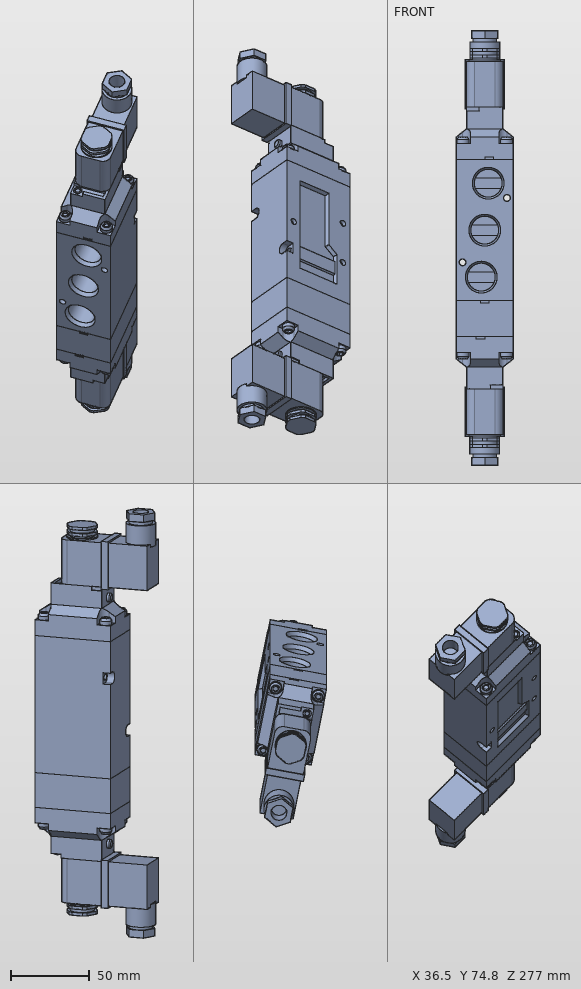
import cadquery as cq


HEX_CORNER_RATIO = 2 / 3**0.5

BLOCK_WIDTH = 36.5
BLOCK_DEPTH = 51.3
CAP_JOINT_Z = 56.3
SPACER_HEIGHT = 22.7
SPACER_TOP_Z = SPACER_HEIGHT - CAP_JOINT_Z

MARK_WIDTH = 5.5
MARK_HEIGHT = 1.7
MARK_DEPTH = 0.8
CAP_MARK_X = MARK_WIDTH / 2

PORT_PITCH = 30.0
PORT_MIDDLE_Z = 11.4
PORT_STAGGER = 2.2
PORT_DIAMETER = 17.7
PORT_MOUTH_DIAMETER = 20.2
PORT_MOUTH_DEPTH = 2.8
PORT_DEPTH = 22.2
PORT_SLOT_HEIGHT = 6.7
PORT_SLOT_DEPTH = 2.8

MOUNT_X = 14.0
MOUNT_MIDDLE_Z = PORT_MIDDLE_Z
MOUNT_HALF_PITCH = 20.5
MOUNT_DIAMETER = 4.2
MOUNT_SLOT_HEIGHT = 7.5
MOUNT_SLOT_DEPTH = 5.0

POCKET_BACK_Y = 40.5
POCKET_UPPER_FRONT_Y = 17.2
POCKET_LOWER_FRONT_Y = 10.5
POCKET_TOP_Z = 44.5
POCKET_BEND_TOP_Z = 5.3
POCKET_BEND_BOTTOM_Z = 0.3
POCKET_BOTTOM_Z = -22.2
POCKET_DEPTH = 2.5
POCKET_TAPER = 25
PAD_TOP_Z = -4.5
PAD_BOTTOM_Z = -13.9
PAD_THICKNESS = 1.0
PAD_SLOPE_WIDTH = 0.8

PIN_DIAMETER = 4.2
PIN_DEPTH = 2.8
PIN_FRONT_Y = 5.8
PIN_BACK_Y = 45.7

SHOULDER_Z = 70.7
NECK_Z = 76.0
NECK_TOP_Z = 89.8
NECK_WIDTH = 23.3
NECK_FRONT_Y = 8.3
NECK_BACK_Y = 43.0

SCREW_X = 13.9
SCREW_EDGE_DISTANCE = 4.7
SCREW_FLOOR_Z = 66.5
SCREW_DIAMETER = 7.8
SCREW_HEIGHT = 4.2
SCREW_CHAMFER_HEIGHT = 1.7
SCREW_CHAMFER_WIDTH = 1.0
SCREW_SOCKET_CORNERS = 4.0
SCREW_SOCKET_DEPTH = 1.7
SCREW_POCKET_SIZE = 9.1
SCREW_POCKET_RADIUS = 5.0

FRONT_STEP_WIDTH = 8.0
REAR_STEP_WIDTH = 0.8
STEP_DEPTH_Y = 7.0
STEP_HEIGHT = 2.5
OVERRIDE_X = -8.0
OVERRIDE_Y = 12.2
OVERRIDE_DIAMETER = 5.3
OVERRIDE_DEPTH = 1.7
OVERRIDE_BUTTON_DIAMETER = 3.0
LABEL_RIGHT_X = 9.7
LABEL_FRONT_Y = 10.5
LABEL_BACK_Y = NECK_FRONT_Y + STEP_DEPTH_Y

PEG_Z = 80.5
PEG_DIAMETER = 5.8
PEG_LENGTH = 2.5
PEG_CHAMFER = 0.8

COIL_TOP_Z = 119.0
COIL_FRONT_Y = 14.0
COIL_CORNER_RADIUS = 5.3
NUT_Y = 25.5
NUT_DIAMETER = 20.0
NUT_FLATS = 18.5
NUT_NECK_DIAMETER = 15.8
NUT_TOP_Z = 127.2
NUT_BASE_THICKNESS = 0.8
NUT_RING_THICKNESS = 2.0
NUT_RING_PITCH = 4.2
NUT_RINGS = 2

FLANGE_WIDTH = 25.0
FLANGE_THICKNESS = 4.5
FLANGE_OVERHANG = 1.0
PLUG_WIDTH = 21.5
PLUG_BACK_Y = 73.5
REAR_LIMIT_Y = 74.8
GLAND_DIAMETER = 19.0
GLAND_BOTTOM_Z = 117.0
GLAND_TOP_Z = 131.3
GLAND_NECK_DIAMETER = 15.2
GLAND_NUT_BOTTOM_Z = 133.5
GLAND_NUT_FLATS = 16.5
GLAND_NUT_CORNERS = GLAND_NUT_FLATS * HEX_CORNER_RATIO
GLAND_Y = REAR_LIMIT_Y - GLAND_NUT_CORNERS / 2
GLAND_NUT_TOP_Z = 138.5
CABLE_HOLE_DIAMETER = 10.0
CABLE_HOLE_DEPTH = 11.0


def span_box(x_range, y_range, z_range):
    """Box between the given limits along X, Y and Z."""
    size = [high - low for low, high in (x_range, y_range, z_range)]
    corner = (x_range[0], y_range[0], z_range[0])
    return cq.Workplane("XY").box(*size, centered=False).translate(corner)


def centred_range(width, middle=0):
    return (middle - width / 2, middle + width / 2)


def upright_cylinder(x, y, z_range, diameter):
    """Cylinder along Z between two heights."""
    height = z_range[1] - z_range[0]
    return cq.Workplane("XY", origin=(x, y, z_range[0])).circle(diameter / 2).extrude(height)


def upright_hexagon(x, y, z_range, across_corners):
    """Hexagonal prism along Z with two of its corners on the Y direction."""
    height = z_range[1] - z_range[0]
    prism = cq.Workplane("XY").polygon(6, across_corners).extrude(height)
    return prism.rotate((0, 0, 0), (0, 0, 1), 90).translate((x, y, z_range[0]))


def front_hole(x, z, diameter, depth):
    """Cylinder that runs back from the front face."""
    return cq.Workplane("XZ", origin=(x, 0, z)).circle(diameter / 2).extrude(-depth)


def block_slice(z_range):
    return span_box(centred_range(BLOCK_WIDTH), (0, BLOCK_DEPTH), z_range)


def mark_notch(x, z_bottom):
    """Shallow notch in the front face beside a joint."""
    z_range = (z_bottom, z_bottom + MARK_HEIGHT)
    return span_box(centred_range(MARK_WIDTH, x), (0, MARK_DEPTH), z_range)


def port(x, z):
    """Blind port with a conical mouth and a slot across its floor."""
    bore = front_hole(x, z, PORT_DIAMETER, PORT_DEPTH)
    mouth = cq.Solid.makeCone(
        PORT_MOUTH_DIAMETER / 2,
        PORT_DIAMETER / 2,
        PORT_MOUTH_DEPTH,
        pnt=cq.Vector(x, 0, z),
        dir=cq.Vector(0, 1, 0),
    )
    slot = span_box(
        centred_range(PORT_DIAMETER, x),
        (PORT_DEPTH, PORT_DEPTH + PORT_SLOT_DEPTH),
        centred_range(PORT_SLOT_HEIGHT, z),
    ).intersect(front_hole(x, z, PORT_DIAMETER, BLOCK_DEPTH))
    return bore.union(cq.Workplane(mouth)).union(slot)


def mounting_hole(side, z):
    """Through hole whose rear end widens into a slot open to the nearer side."""
    x = side * MOUNT_X
    hole = front_hole(x, z, MOUNT_DIAMETER, BLOCK_DEPTH)
    slot = (
        cq.Workplane("XZ", origin=(x + side * MOUNT_SLOT_HEIGHT, BLOCK_DEPTH, z))
        .slot2D(3 * MOUNT_SLOT_HEIGHT, MOUNT_SLOT_HEIGHT)
        .extrude(MOUNT_SLOT_DEPTH)
    )
    return hole.union(slot)


def side_pocket():
    """Tapered pocket of the -X side, less the pad left standing on its floor."""
    side_x = -BLOCK_WIDTH / 2
    outline = [
        (POCKET_BACK_Y, POCKET_TOP_Z),
        (POCKET_UPPER_FRONT_Y, POCKET_TOP_Z),
        (POCKET_UPPER_FRONT_Y, POCKET_BEND_TOP_Z),
        (POCKET_LOWER_FRONT_Y, POCKET_BEND_BOTTOM_Z),
        (POCKET_LOWER_FRONT_Y, POCKET_BOTTOM_Z),
        (POCKET_BACK_Y, POCKET_BOTTOM_Z),
    ]
    pocket = (
        cq.Workplane("YZ", origin=(side_x, 0, 0))
        .polyline(outline)
        .close()
        .extrude(POCKET_DEPTH, taper=POCKET_TAPER)
    )
    floor_x = side_x + POCKET_DEPTH
    pad_x = floor_x - PAD_THICKNESS
    pad = (
        cq.Workplane("XZ", origin=(0, POCKET_LOWER_FRONT_Y, 0))
        .polyline(
            [
                (pad_x, PAD_TOP_Z),
                (floor_x, PAD_TOP_Z + PAD_SLOPE_WIDTH),
                (floor_x, PAD_BOTTOM_Z - PAD_SLOPE_WIDTH),
                (pad_x, PAD_BOTTOM_Z),
            ]
        )
        .close()
        .extrude(POCKET_LOWER_FRONT_Y - POCKET_BACK_Y)
    )
    return pocket.cut(pad)


def pin_holes():
    points = [
        (PIN_FRONT_Y, PORT_MIDDLE_Z + PORT_PITCH / 2),
        (PIN_FRONT_Y, PORT_MIDDLE_Z - PORT_PITCH / 2),
        (PIN_BACK_Y, PORT_MIDDLE_Z),
    ]
    return (
        cq.Workplane("YZ", origin=(-BLOCK_WIDTH / 2, 0, 0))
        .pushPoints(points)
        .circle(PIN_DIAMETER / 2)
        .extrude(PIN_DEPTH)
    )


def make_main_body():
    body = block_slice((SPACER_TOP_Z, CAP_JOINT_Z))
    for step in (-1, 0, 1):
        body = body.cut(port(step * PORT_STAGGER, PORT_MIDDLE_Z + step * PORT_PITCH))
    for side in (-1, 1):
        body = body.cut(mounting_hole(side, MOUNT_MIDDLE_Z + side * MOUNT_HALF_PITCH))
    return body.cut(side_pocket()).cut(pin_holes())


def make_spacer():
    spacer = block_slice((-CAP_JOINT_Z, SPACER_TOP_Z))
    return spacer.cut(mark_notch(0, SPACER_TOP_Z - MARK_HEIGHT))


def cap_blank():
    """Block end that slopes in to a narrower neck."""
    base = block_slice((CAP_JOINT_Z, SHOULDER_Z))
    neck_depth = NECK_BACK_Y - NECK_FRONT_Y
    neck_y = (NECK_FRONT_Y + NECK_BACK_Y) / 2
    slope = (
        cq.Workplane("XY", origin=(0, BLOCK_DEPTH / 2, SHOULDER_Z))
        .rect(BLOCK_WIDTH, BLOCK_DEPTH)
        .workplane(offset=NECK_Z - SHOULDER_Z)
        .center(0, neck_y - BLOCK_DEPTH / 2)
        .rect(NECK_WIDTH, neck_depth)
        .loft(ruled=True)
    )
    neck = span_box(centred_range(NECK_WIDTH), (NECK_FRONT_Y, NECK_BACK_Y), (NECK_Z, NECK_TOP_Z))
    return base.union(slope).union(neck)


def screw_pocket(x_side, y_side):
    """Corner pocket, open to two sides, with a rounded inner corner."""
    corner_y = BLOCK_DEPTH / 2 * (1 + y_side)
    pocket = span_box(
        centred_range(2 * SCREW_POCKET_SIZE, x_side * BLOCK_WIDTH / 2),
        centred_range(2 * SCREW_POCKET_SIZE, corner_y),
        (SCREW_FLOOR_Z, NECK_TOP_Z),
    )
    return pocket.edges("|Z").fillet(SCREW_POCKET_RADIUS)


def screw_head(x_side, y_side):
    """Chamfered socket screw head standing on the pocket floor."""
    middle_y = BLOCK_DEPTH / 2
    y = middle_y + y_side * (middle_y - SCREW_EDGE_DISTANCE)
    x = x_side * SCREW_X
    top_z = SCREW_FLOOR_Z + SCREW_HEIGHT
    bevel_z = top_z - SCREW_CHAMFER_HEIGHT
    head = upright_cylinder(x, y, (SCREW_FLOOR_Z, bevel_z), SCREW_DIAMETER)
    radius = SCREW_DIAMETER / 2
    top_radius = radius - SCREW_CHAMFER_WIDTH
    bevel = cq.Solid.makeCone(radius, top_radius, SCREW_CHAMFER_HEIGHT, pnt=cq.Vector(x, y, bevel_z))
    socket = upright_hexagon(x, y, (top_z - SCREW_SOCKET_DEPTH, top_z), SCREW_SOCKET_CORNERS)
    return head.union(cq.Workplane(bevel)).cut(socket)


def neck_corner_step(x_side, corner_y, width):
    """Low step cut in from a top corner of the neck."""
    return span_box(
        centred_range(2 * width, x_side * NECK_WIDTH / 2),
        centred_range(2 * STEP_DEPTH_Y, corner_y),
        (NECK_TOP_Z - STEP_HEIGHT, NECK_TOP_Z),
    )


def override_recess():
    """Round recess in the corner step, with a round button left inside."""
    top_z = NECK_TOP_Z - STEP_HEIGHT
    z_range = (top_z - OVERRIDE_DEPTH, top_z)
    ring = upright_cylinder(OVERRIDE_X, OVERRIDE_Y, z_range, OVERRIDE_DIAMETER)
    return ring.cut(upright_cylinder(OVERRIDE_X, OVERRIDE_Y, z_range, OVERRIDE_BUTTON_DIAMETER))


def label_recess():
    """Recess that carries the front corner step on behind a narrow rim."""
    return span_box(
        (-NECK_WIDTH / 2, LABEL_RIGHT_X),
        (LABEL_FRONT_Y, LABEL_BACK_Y),
        (NECK_TOP_Z - STEP_HEIGHT, NECK_TOP_Z),
    )


def rear_peg():
    peg = cq.Workplane("XZ", origin=(0, NECK_BACK_Y, PEG_Z)).circle(PEG_DIAMETER / 2).extrude(-PEG_LENGTH)
    return peg.faces(">Y").chamfer(PEG_CHAMFER)


def make_end_cap():
    cap = cap_blank().union(rear_peg())
    for x_side in (-1, 1):
        for y_side in (-1, 1):
            cap = cap.cut(screw_pocket(x_side, y_side)).union(screw_head(x_side, y_side))
    cap = cap.cut(neck_corner_step(-1, NECK_FRONT_Y, FRONT_STEP_WIDTH))
    cap = cap.cut(neck_corner_step(1, NECK_BACK_Y, REAR_STEP_WIDTH))
    return cap.cut(override_recess()).cut(label_recess()).cut(mark_notch(CAP_MARK_X, CAP_JOINT_Z))


def coil_nut():
    """Round base, narrower neck and two hexagonal rings with rounded corners."""
    base = upright_cylinder(0, NUT_Y, (COIL_TOP_Z, COIL_TOP_Z + NUT_BASE_THICKNESS), NUT_DIAMETER)
    nut = base.union(upright_cylinder(0, NUT_Y, (COIL_TOP_Z, NUT_TOP_Z), NUT_NECK_DIAMETER))
    for ring in range(NUT_RINGS):
        top_z = NUT_TOP_Z - ring * NUT_RING_PITCH
        z_range = (top_z - NUT_RING_THICKNESS, top_z)
        hexagon = upright_hexagon(0, NUT_Y, z_range, NUT_FLATS * HEX_CORNER_RATIO)
        nut = nut.union(hexagon.intersect(upright_cylinder(0, NUT_Y, z_range, NUT_DIAMETER)))
    return nut


def make_coil():
    housing = span_box(
        centred_range(NECK_WIDTH), (COIL_FRONT_Y, NECK_BACK_Y), (NECK_TOP_Z, COIL_TOP_Z)
    )
    housing = housing.edges("|Z and <Y").fillet(COIL_CORNER_RADIUS)
    return housing.union(coil_nut())


def cable_gland():
    """Stepped gland with a hexagonal nut and a cable hole."""
    gland = upright_cylinder(0, GLAND_Y, (GLAND_BOTTOM_Z, GLAND_TOP_Z), GLAND_DIAMETER)
    neck = upright_cylinder(0, GLAND_Y, (GLAND_TOP_Z, GLAND_NUT_BOTTOM_Z), GLAND_NECK_DIAMETER)
    nut = upright_hexagon(0, GLAND_Y, (GLAND_NUT_BOTTOM_Z, GLAND_NUT_TOP_Z), GLAND_NUT_CORNERS)
    hole_range = (GLAND_NUT_TOP_Z - CABLE_HOLE_DEPTH, GLAND_NUT_TOP_Z)
    hole = upright_cylinder(0, GLAND_Y, hole_range, CABLE_HOLE_DIAMETER)
    return gland.union(neck).union(nut).cut(hole)


def make_connector():
    flange_back_y = NECK_BACK_Y + FLANGE_THICKNESS
    flange = span_box(
        centred_range(FLANGE_WIDTH),
        (NECK_BACK_Y, flange_back_y),
        (NECK_TOP_Z - FLANGE_OVERHANG, COIL_TOP_Z + FLANGE_OVERHANG),
    )
    plug = span_box(centred_range(PLUG_WIDTH), (flange_back_y, PLUG_BACK_Y), (NECK_TOP_Z, COIL_TOP_Z))
    return flange.union(plug).union(cable_gland())


def at_both_ends(body):
    """The upper body and its copy turned half a turn about Y, at the lower end."""
    return [body.val(), body.rotate((0, 0, 0), (0, 1, 0), 180).val()]


result = cq.Compound.makeCompound(
    [
        make_main_body().val(),
        make_spacer().val(),
        *at_both_ends(make_end_cap()),
        *at_both_ends(make_coil()),
        *at_both_ends(make_connector()),
    ]
)